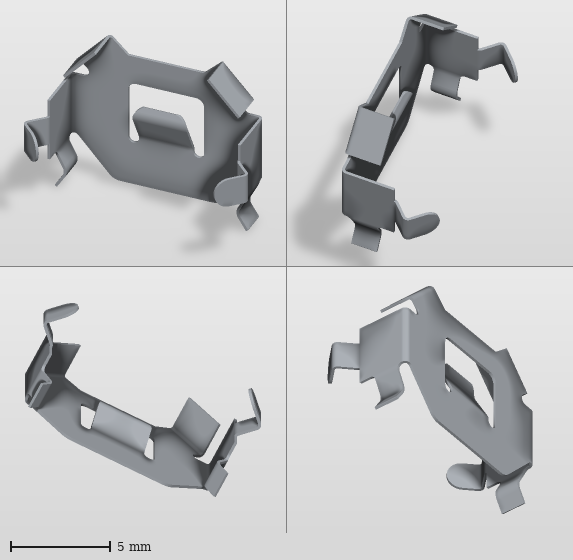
import cadquery as cq
import math


thickness = 0.15
tight_bend = 0.15
fold_reach = tight_bend + thickness

top_z = 3.6
bottom_z = -4.0
bottom_half_width = 2.88
bottom_corner_radius = 0.8
bevel_angle = 48
bevel_corner_radius = 0.2

wall_outer_x = 5.3
wall_height = 3.5
wall_depth = 2.95
wall_bottom_z = -wall_height / 2

arm_width = 1.6
arm_angle = 45
arm_rise = 0.965
arm_return = 0.8

leg_rear_y = -0.6
leg_width = 1.4
leg_root_fillet = 0.3
leg_bend = 0.5
leg_in_angle = 28
leg_out_angle = 33
leg_shank = 0.75
leg_foot = 0.77

tab_width = 2.5
tab_angle = 43
tab_root_x = 2.09
tab_reach = 1.45
tab_depth = 2.0
tab_root_radius = 0.1
notch_radius = 0.3

window_half_width = 2.08
window_top_z = 2.0
window_corner_radius = 0.45
tongue_half_width = 1.49
tongue_bend = 0.45
tongue_root_z = -1.2
tongue_top_z = 1.2
tongue_tip_radius = 0.8
tongue_angle = 28.5
tongue_lip_angle = 26
tongue_slope = 1.54
tongue_lip = 0.31
relief_z = -1.23


def direction(angle):
    """Unit vector at an angle in degrees."""
    radians = math.radians(angle)
    return cq.Vector(math.cos(radians), math.sin(radians))


def flat_point(vector):
    """In-plane coordinates of a vector as a pair."""
    return (vector.x, vector.y)


def flat_piece(plane, width, position, heading, length):
    """Straight stretch of sheet starting at a section point and heading."""
    end = position + direction(heading) * length
    half = direction(heading + 90) * (thickness / 2)
    corners = [position + half, end + half, end - half, position - half]
    outline = cq.Workplane(plane).polyline([flat_point(corner) for corner in corners]).close()
    return outline.extrude(width / 2, both=True), end


def bent_piece(plane, width, position, heading, turn, radius):
    """Ring sector of sheet that turns by an angle from a section point and heading."""
    side = math.copysign(1, turn)
    middle_radius = radius + thickness / 2
    outer_radius = radius + thickness
    center = position + direction(heading + 90) * side * middle_radius

    def rim(reach, share):
        outward = direction(heading + turn * share + 90) * -side
        return center + outward * reach

    sector = (
        cq.Workplane(plane)
        .moveTo(*flat_point(rim(radius, 0)))
        .threePointArc(flat_point(rim(radius, 0.5)), flat_point(rim(radius, 1)))
        .lineTo(*flat_point(rim(outer_radius, 1)))
        .threePointArc(flat_point(rim(outer_radius, 0.5)), flat_point(rim(outer_radius, 0)))
        .close()
    )
    return sector.extrude(width / 2, both=True), rim(middle_radius, 1)


def bent_strip(plane, width, steps):
    """Folded sheet strip whose section lies in the given plane, extruded evenly to both sides.

    Its mid-surface starts at the plane's origin, heading along the plane's X axis.  Each step is
    (straight length, turn angle, concave-side radius); a positive angle turns left.
    Returns the strip, and the section point and heading at its far end.
    """
    position = cq.Vector(0, 0)
    heading = 0
    strip = cq.Workplane(plane)
    for length, turn, radius in steps:
        if length:
            piece, position = flat_piece(plane, width, position, heading, length)
            strip = strip.union(piece)
        if turn:
            piece, position = bent_piece(plane, width, position, heading, turn, radius)
            strip = strip.union(piece)
            heading += turn
    return strip, position, heading


tab_out = cq.Vector(direction(tab_angle).x, 0, direction(tab_angle).y)
tab_down = cq.Vector(direction(tab_angle - 90).x, 0, direction(tab_angle - 90).y)
tab_valley = cq.Vector(tab_root_x, 0, top_z)
tab_root_upper = tab_valley + tab_out * (tab_reach - fold_reach)
tab_root_lower = tab_root_upper + tab_down * tab_width


def make_half_plate():
    """Right half of the back plate, up to where the wall and the tab fold away."""
    wall_root_x = wall_outer_x - fold_reach
    wall_top_z = wall_height / 2
    notch_x = tab_root_lower.x - (tab_root_lower.z - wall_top_z) / math.tan(math.radians(tab_angle))
    bevel_run = (wall_bottom_z - bottom_z) / math.tan(math.radians(bevel_angle))
    bevel_x = bottom_half_width + bevel_run
    outline = [
        (0, top_z),
        (tab_root_x, top_z),
        (tab_root_upper.x, tab_root_upper.z),
        (tab_root_lower.x, tab_root_lower.z),
        (notch_x, wall_top_z),
        (wall_root_x, wall_top_z),
        (wall_root_x, wall_bottom_z),
        (bevel_x, wall_bottom_z),
        (bottom_half_width, bottom_z),
        (0, bottom_z),
    ]
    plate = cq.Workplane("XZ").polyline(outline).close().extrude(thickness)
    rounded_corners = [
        (tab_root_x, top_z, tab_root_radius),
        (notch_x, wall_top_z, notch_radius),
        (bevel_x, wall_bottom_z, bevel_corner_radius),
        (bottom_half_width, bottom_z, bottom_corner_radius),
    ]
    for x, z, radius in rounded_corners:
        corner = cq.selectors.NearestToPointSelector((x, -thickness / 2, z))
        plate = plate.edges("|Y").edges(corner).fillet(radius)
    return plate


def make_window():
    """Cutter for the window, which runs down both sides of the tongue into round slot ends."""
    relief_radius = (window_half_width - tongue_half_width) / 2
    relief_x = (window_half_width + tongue_half_width) / 2
    opening = (
        cq.Workplane("XZ")
        .moveTo(-window_half_width, window_top_z)
        .lineTo(window_half_width, window_top_z)
        .lineTo(window_half_width, relief_z)
        .threePointArc((relief_x, relief_z - relief_radius), (tongue_half_width, relief_z))
        .lineTo(tongue_half_width, tongue_root_z)
        .lineTo(-tongue_half_width, tongue_root_z)
        .lineTo(-tongue_half_width, relief_z)
        .threePointArc((-relief_x, relief_z - relief_radius), (-window_half_width, relief_z))
        .close()
        .extrude(thickness)
    )
    return opening.edges("|Y and >Z").edges("<X or >X").fillet(window_corner_radius)


def make_wall_and_arm():
    """Right side wall folded forward, with the narrower V-shaped arm and its round end."""
    mid_y = -thickness / 2
    wall_plane = cq.Plane((wall_outer_x - fold_reach, mid_y, 0), xDir=(1, 0, 0), normal=(0, 0, -1))
    wall, _, _ = bent_strip(
        wall_plane, wall_height, [(0, 90, tight_bend), (wall_depth - fold_reach, 0, 0)]
    )

    wall_mid_x = wall_outer_x - thickness / 2
    arm_plane = cq.Plane((wall_mid_x, -wall_depth, 0), xDir=(0, -1, 0), normal=(0, 0, -1))
    arm, tip, tip_heading = bent_strip(
        arm_plane,
        arm_width,
        [
            (0, -arm_angle, tight_bend),
            (arm_rise, 2 * arm_angle, tight_bend),
            (arm_return, 0, 0),
        ],
    )

    ahead = direction(tip_heading)
    end_x_dir = arm_plane.toWorldCoords(ahead.toTuple()) - arm_plane.origin
    end_normal = arm_plane.toWorldCoords(direction(tip_heading + 90).toTuple()) - arm_plane.origin
    end_plane = cq.Plane(arm_plane.toWorldCoords(tip.toTuple()), xDir=end_x_dir, normal=end_normal)
    half_width = arm_width / 2
    round_end = (
        cq.Workplane(end_plane)
        .moveTo(0, -half_width)
        .threePointArc((half_width, 0), (0, half_width))
        .close()
        .extrude(thickness / 2, both=True)
    )
    return wall.union(arm).union(round_end)


def make_leg():
    """Right spring leg curving down from the wall, flared into it at the root."""
    leg_mid_y = leg_rear_y - leg_width / 2
    root_width = leg_width + 2 * leg_root_fillet
    wall_mid_x = wall_outer_x - thickness / 2
    plane = cq.Plane((wall_mid_x, leg_mid_y, wall_bottom_z), xDir=(0, 0, -1), normal=(0, 1, 0))
    strip, _, _ = bent_strip(
        plane,
        root_width,
        [
            (0, leg_in_angle, leg_bend),
            (leg_shank, -leg_in_angle - leg_out_angle, leg_bend),
            (leg_foot, 0, 0),
        ],
    )
    half_width = leg_width / 2
    mid_arc = leg_root_fillet * (1 - math.sqrt(0.5))
    side_profile = (
        cq.Workplane("YZ", origin=(0, leg_mid_y, wall_bottom_z))
        .moveTo(-half_width - leg_root_fillet, 0)
        .threePointArc((-half_width - mid_arc, -mid_arc), (-half_width, -leg_root_fillet))
        .lineTo(-half_width, bottom_z)
        .lineTo(half_width, bottom_z)
        .lineTo(half_width, -leg_root_fillet)
        .threePointArc((half_width + mid_arc, -mid_arc), (half_width + leg_root_fillet, 0))
        .close()
        .extrude(wall_outer_x)
    )
    return strip.intersect(side_profile)


def make_tab():
    """Upper right corner tab, folded forward along its slanted root."""
    root_middle = (tab_root_upper + tab_root_lower) * 0.5 - cq.Vector(0, thickness / 2, 0)
    plane = cq.Plane(root_middle, xDir=tab_out, normal=tab_out.cross(cq.Vector(0, -1, 0)))
    tab, _, _ = bent_strip(plane, tab_width, [(0, 90, tight_bend), (tab_depth - fold_reach, 0, 0)])
    return tab


def make_tongue():
    """Spring tongue leaning forward through the window, with a lip and rounded tip corners."""
    plane = cq.Plane((0, -thickness / 2, tongue_root_z), xDir=(0, 0, 1), normal=(1, 0, 0))
    strip, _, _ = bent_strip(
        plane,
        2 * tongue_half_width,
        [
            (0, tongue_angle, tongue_bend),
            (tongue_slope, -tongue_angle - tongue_lip_angle, tongue_bend),
            (tongue_lip, 0, 0),
        ],
    )
    height = tongue_top_z - tongue_root_z
    front_profile = (
        cq.Workplane("XZ", origin=(0, 0, tongue_root_z))
        .rect(2 * tongue_half_width, 2 * height)
        .extrude(height)
        .edges("|Y and >Z")
        .fillet(tongue_tip_radius)
    )
    return strip.intersect(front_profile)


half_clip = make_half_plate().union(make_wall_and_arm()).union(make_leg()).union(make_tab())
clip = half_clip.union(half_clip.mirror("YZ"))
result = clip.cut(make_window()).union(make_tongue())